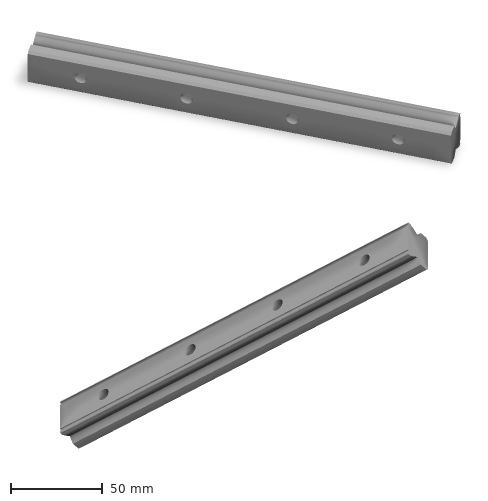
import cadquery as cq

length = 240.0
depth = 18.0
height = 23.0

front_chamfer = 1.5
front_land_end = 6.5
valley_near = 9.0
valley_far = 9.4
valley_drop = 3.5
shelf_start = 13.7
shelf_end = 15.0
shelf_drop = 1.0
shelf_end_drop = 0.7
back_land_start = 15.4
back_chamfer = 0.5
notch_depth = 0.7
notch_top_drop = 1.0
notch_bottom_drop = 3.0

hole_count = 4
hole_pitch = length / hole_count
hole_diameter = 7.2


def rail_profile():
    """Return (Y, Z) points of the closed section, symmetric about Z = 0."""
    upper_edge = [
        (0, front_chamfer),
        (front_chamfer, 0),
        (front_land_end, 0),
        (valley_near, valley_drop),
        (valley_far, valley_drop),
        (shelf_start, shelf_drop),
        (shelf_end, shelf_end_drop),
        (back_land_start, 0),
        (depth - back_chamfer, 0),
        (depth, back_chamfer),
        (depth, notch_top_drop),
        (depth - notch_depth, notch_top_drop),
        (depth - notch_depth, notch_bottom_drop),
        (depth, notch_bottom_drop),
    ]
    upper = [(across - depth / 2, height / 2 - drop) for across, drop in upper_edge]
    lower = [(y, -z) for y, z in reversed(upper)]
    return upper + lower


def mounting_holes():
    """Return a row of cylinders crossing the full depth of the rail."""
    return (
        cq.Workplane("XZ")
        .rarray(hole_pitch, 2.5, hole_count, 1)
        .circle(hole_diameter / 2)
        .extrude(depth, both=True)
    )


rail = cq.Workplane("YZ").polyline(rail_profile()).close().extrude(length / 2, both=True)
result = rail.cut(mounting_holes())